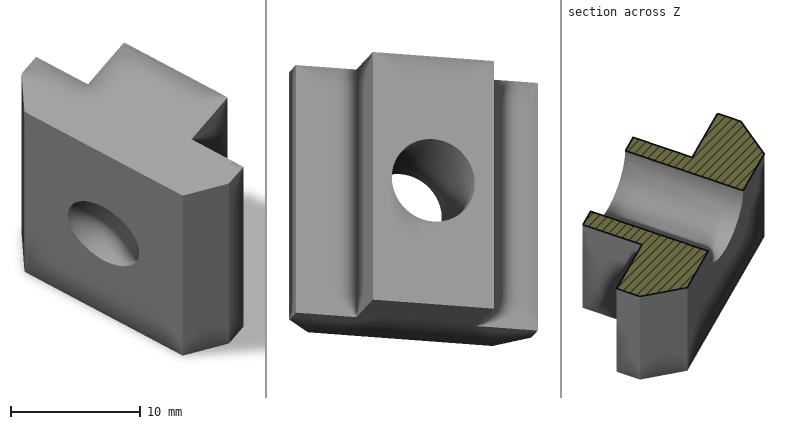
import cadquery as cq

flange_width = 19.4
depth = 10.0
length = 20.0

stem_width = 9.7
flange_thickness = 5.0
chamfer_width = 2.3
chamfer_depth = 3.0

hole_diameter = 6.65

front_y = -depth / 2
back_y = depth / 2
bevel_end_y = front_y + chamfer_depth
shoulder_y = front_y + flange_thickness


def make_body():
    """T-shaped bar along Z, with the flange bevelled towards -Y."""
    half_profile = [
        (0, front_y),
        (flange_width / 2 - chamfer_width, front_y),
        (flange_width / 2, bevel_end_y),
        (flange_width / 2, shoulder_y),
        (stem_width / 2, shoulder_y),
        (stem_width / 2, back_y),
        (0, back_y),
    ]
    return (
        cq.Workplane("XY", origin=(0, 0, -length / 2))
        .polyline(half_profile)
        .mirrorY()
        .extrude(length)
    )


def make_hole():
    """Through hole along Y, centred on the flange face."""
    return (
        cq.Workplane("XZ", origin=(0, back_y, 0))
        .circle(hole_diameter / 2)
        .extrude(depth)
    )


result = make_body().cut(make_hole())